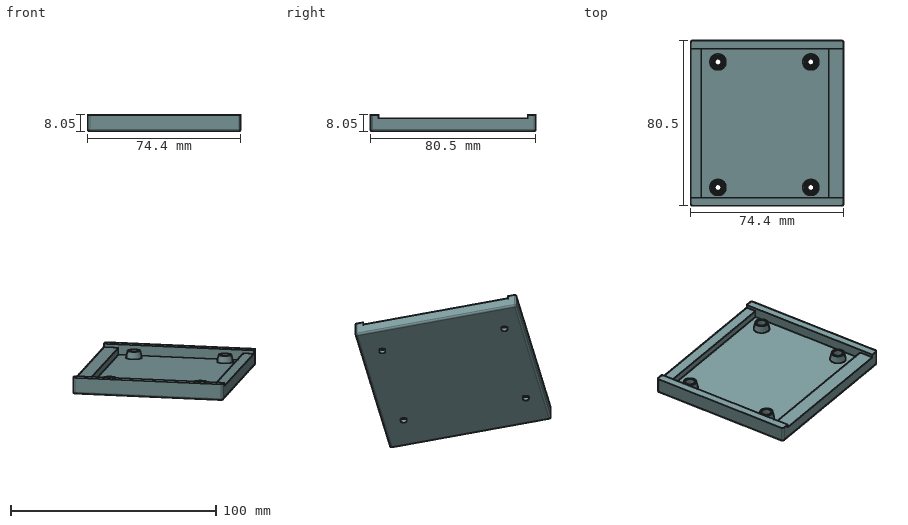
import cadquery as cq

length_x = 74.4
length_y = 80.5
height = 8.05
edge_radius = 1.0

floor_thickness = 3.0
end_rail_width = 4.0
left_rail_width = 5.2
right_rail_width = 7.25
side_rail_drop = 1.6

standoff_spacing_x = 45.2
standoff_spacing_y = 61.1
first_standoff_x = 13.3
first_standoff_y = 8.9
standoff_height = height - side_rail_drop - floor_thickness
standoff_base_diameter = 7.8
standoff_top_diameter = 6.2
bore_top_diameter = 4.6
bore_bottom_diameter = 3.95
hole_diameter = 3.1

inner_length_y = length_y - 2 * end_rail_width
pocket_length_x = length_x - left_rail_width - right_rail_width
standoff_points = [
    (first_standoff_x + column * standoff_spacing_x, first_standoff_y + row * standoff_spacing_y)
    for column in range(2)
    for row in range(2)
]


def block(size_x, size_y, size_z, corner):
    """Box grown from its lowest corner toward +X, +Y and +Z."""
    return cq.Workplane("XY").box(size_x, size_y, size_z, centered=False).translate(corner)


def make_tray():
    """Rounded slab with lowered side rails and a rectangular pocket between the rails."""
    slab = block(length_x, length_y, height, (0, 0, 0))
    slab = slab.edges("|Z").fillet(edge_radius).faces("<Z").edges().fillet(edge_radius)
    rail_step = block(length_x, inner_length_y, side_rail_drop, (0, end_rail_width, height - side_rail_drop))
    pocket = block(
        pocket_length_x,
        inner_length_y,
        height - floor_thickness,
        (left_rail_width, end_rail_width, floor_thickness),
    )
    return slab.cut(rail_step).cut(pocket)


def add_standoffs(tray):
    """Tapered standoffs on the floor, each with a tapered bore above a narrower through hole."""
    floor = cq.Workplane("XY", origin=(0, 0, floor_thickness)).pushPoints(standoff_points)
    cone = cq.Solid.makeCone(standoff_base_diameter / 2, standoff_top_diameter / 2, standoff_height)
    bore = cq.Solid.makeCone(bore_bottom_diameter / 2, bore_top_diameter / 2, standoff_height)
    standoffs = floor.eachpoint(lambda place: cone.moved(place))
    bores = floor.eachpoint(lambda place: bore.moved(place))
    holes = cq.Workplane("XY").pushPoints(standoff_points).circle(hole_diameter / 2).extrude(floor_thickness)
    return tray.union(standoffs).cut(bores).cut(holes)


result = add_standoffs(make_tray())